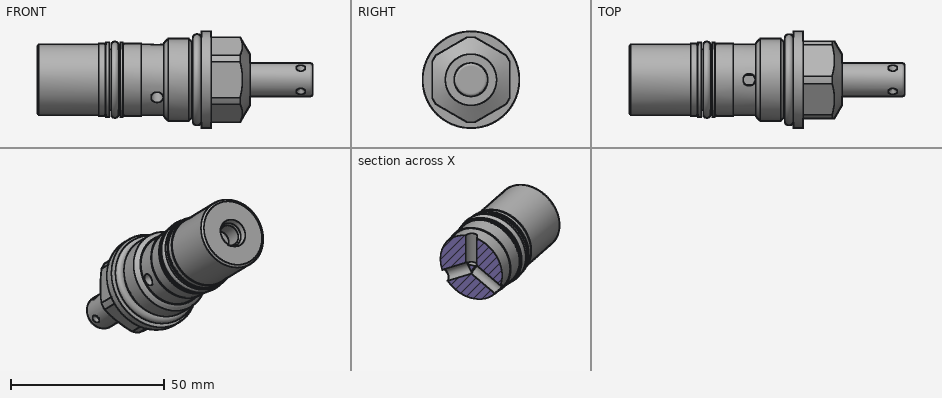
import cadquery as cq
import math

TOTAL_LENGTH = 90.1
NOSE_CHAMFER_LENGTH = 0.5
LAND_START = 20.1
SEAL_GROOVE_START = 22.3
SEAL_GROOVE_END = 28.2
LAND_END = 34.1
COLLAR_START = 41.4
COLLAR_CHAMFER_BREAK = 41.9
COLLAR_CHAMFER_END = 42.9
COLLAR_REAR_CHAMFER = 49.5
COLLAR_END = 50.6
FLANGE_START = 53.7
FLANGE_END = 56.9
STEM_START = 69.6

NOSE_FACE_RADIUS = 10.8
NOSE_RADIUS = 11.6
LAND_RADIUS = 11.9
COLLAR_FRONT_RADIUS = LAND_RADIUS
COLLAR_BREAK_RADIUS = 12.6
COLLAR_RADIUS = 13.5
COLLAR_REAR_RADIUS = 12.4
FLANGE_RADIUS = 15.9
STEM_RADIUS = 5.5
STEM_END_FILLET = 1.0

RIB_RADIUS = 12.3
RIB_SIDE_GAP = 0.2
FRONT_RIB_END = 23.6
REAR_RIB_START = 27.2
RIB_GAP_DEPTH = 0.45

SMALL_RING_CENTER = 25.4
SMALL_RING_OUTER_RADIUS = 12.5
SMALL_RING_SECTION_RADIUS = 1.3
LARGE_RING_SECTION_RADIUS = 1.4
LARGE_RING_CENTER = FLANGE_START - LARGE_RING_SECTION_RADIUS
LARGE_RING_OUTER_RADIUS = 15.0

HEX_ACROSS_FLATS = 25.3
HEX_CORNER_RADIUS = 14.0
HEX_CONE_ANGLE = 60.0
HEX_END_RADIUS = 8.4

BORE_MOUTH_RADIUS = 4.6
BORE_THROAT_RADIUS = 4.0
BORE_THROAT_DEPTH = 1.9
INNER_BORE_RADIUS = 3.4
INNER_BORE_START = 2.6
INNER_BORE_DEPTH = 9.0

PORT_RADIUS = 2.0
PORT_X = 39.2
PORT_FLOOR = 0.9
PORT_ANGLES = [90, 210, 330]
DIMPLE_RADIUS = 1.5
DIMPLE_DEPTH = 1.5
DIMPLE_X = 86.15
DIMPLE_ANGLES = [45, 135, 225, 315]

small_groove_floor = SMALL_RING_OUTER_RADIUS - 2 * SMALL_RING_SECTION_RADIUS
large_groove_floor = LARGE_RING_OUTER_RADIUS - 2 * LARGE_RING_SECTION_RADIUS


def revolve_about_x(profile):
    return profile.close().revolve(360, (0, 0, 0), (1, 0, 0))


def cylinder_x(start, end, radius):
    return cq.Workplane("YZ", origin=(start, 0, 0)).circle(radius).extrude(end - start)


def make_turned_body():
    gap_floor = LAND_RADIUS - RIB_GAP_DEPTH
    points = [
        (0, 0),
        (0, NOSE_FACE_RADIUS),
        (NOSE_CHAMFER_LENGTH, NOSE_RADIUS),
        (LAND_START, NOSE_RADIUS),
        (LAND_START, LAND_RADIUS),
        (SEAL_GROOVE_START, LAND_RADIUS),
        (SEAL_GROOVE_START, gap_floor),
        (SEAL_GROOVE_START + RIB_SIDE_GAP, gap_floor),
        (SEAL_GROOVE_START + RIB_SIDE_GAP, RIB_RADIUS),
        (FRONT_RIB_END, RIB_RADIUS),
        (FRONT_RIB_END, small_groove_floor),
        (REAR_RIB_START, small_groove_floor),
        (REAR_RIB_START, RIB_RADIUS),
        (SEAL_GROOVE_END - RIB_SIDE_GAP, RIB_RADIUS),
        (SEAL_GROOVE_END - RIB_SIDE_GAP, gap_floor),
        (SEAL_GROOVE_END, gap_floor),
        (SEAL_GROOVE_END, LAND_RADIUS),
        (LAND_END, LAND_RADIUS),
        (LAND_END, NOSE_RADIUS),
        (COLLAR_START, NOSE_RADIUS),
        (COLLAR_START, COLLAR_FRONT_RADIUS),
        (COLLAR_CHAMFER_BREAK, COLLAR_BREAK_RADIUS),
        (COLLAR_CHAMFER_END, COLLAR_RADIUS),
        (COLLAR_REAR_CHAMFER, COLLAR_RADIUS),
        (COLLAR_END, COLLAR_REAR_RADIUS),
        (COLLAR_END, large_groove_floor),
        (FLANGE_START, large_groove_floor),
        (FLANGE_START, FLANGE_RADIUS),
        (FLANGE_END, FLANGE_RADIUS),
        (FLANGE_END, 0),
    ]
    return revolve_about_x(cq.Workplane("XY").polyline(points))


def make_hexagon():
    """Hexagon with turned corners and a conical end, corners on the Z axis."""
    cone_length = (HEX_CORNER_RADIUS - HEX_END_RADIUS) / math.tan(math.radians(HEX_CONE_ANGLE))
    corner_diameter = HEX_ACROSS_FLATS / math.cos(math.radians(30))
    prism = (
        cq.Workplane("YZ", origin=(FLANGE_END, 0, 0))
        .transformed(rotate=(0, 0, 90))
        .polygon(6, corner_diameter)
        .extrude(STEM_START - FLANGE_END)
    )
    envelope = revolve_about_x(cq.Workplane("XY").polyline([
        (FLANGE_END, 0),
        (FLANGE_END, HEX_CORNER_RADIUS),
        (STEM_START - cone_length, HEX_CORNER_RADIUS),
        (STEM_START, HEX_END_RADIUS),
        (STEM_START, 0),
    ]))
    return prism.intersect(envelope)


def make_stem():
    return cylinder_x(STEM_START, TOTAL_LENGTH, STEM_RADIUS).faces(">X").edges().fillet(STEM_END_FILLET)


def make_nose_bore():
    """Blind bore that narrows through two tapers."""
    return revolve_about_x(cq.Workplane("XY").polyline([
        (0, 0),
        (0, BORE_MOUTH_RADIUS),
        (BORE_THROAT_DEPTH, BORE_THROAT_RADIUS),
        (INNER_BORE_START, INNER_BORE_RADIUS),
        (INNER_BORE_DEPTH, INNER_BORE_RADIUS),
        (INNER_BORE_DEPTH, 0),
    ]))


def axis_normal(angle):
    """Unit vector square to the X axis, at an angle measured from +Y towards +Z."""
    return cq.Vector(0, math.cos(math.radians(angle)), math.sin(math.radians(angle)))


def make_port(angle):
    """Blind radial hole; its flat floor lies just short of the X axis."""
    direction = axis_normal(angle)
    floor = cq.Vector(PORT_X, 0, 0) + direction * PORT_FLOOR
    return cq.Workplane(cq.Solid.makeCylinder(PORT_RADIUS, LAND_RADIUS - PORT_FLOOR, floor, direction))


def make_dimple(angle):
    """Cone that points at the X axis; it runs on past the stem surface so that it opens fully."""
    direction = axis_normal(angle)
    overshoot = DIMPLE_DEPTH / 2
    height = DIMPLE_DEPTH + overshoot
    mouth_radius = DIMPLE_RADIUS * height / DIMPLE_DEPTH
    apex = cq.Vector(DIMPLE_X, 0, 0) + direction * (STEM_RADIUS - DIMPLE_DEPTH)
    return cq.Workplane(cq.Solid.makeCone(0, mouth_radius, height, apex, direction))


def make_cartridge():
    body = make_turned_body().union(make_hexagon()).union(make_stem())
    body = body.cut(make_nose_bore())
    for angle in PORT_ANGLES:
        body = body.cut(make_port(angle))
    for angle in DIMPLE_ANGLES:
        body = body.cut(make_dimple(angle))
    return body


def make_o_ring(center, outer_radius, section_radius):
    return (
        cq.Workplane("XY")
        .center(center, outer_radius - section_radius)
        .circle(section_radius)
        .revolve(360, (0, section_radius - outer_radius, 0), (1, section_radius - outer_radius, 0))
    )


cartridge = make_cartridge()
small_o_ring = make_o_ring(SMALL_RING_CENTER, SMALL_RING_OUTER_RADIUS, SMALL_RING_SECTION_RADIUS)
large_o_ring = make_o_ring(LARGE_RING_CENTER, LARGE_RING_OUTER_RADIUS, LARGE_RING_SECTION_RADIUS)

result = cq.Compound.makeCompound([cartridge.val(), small_o_ring.val(), large_o_ring.val()])